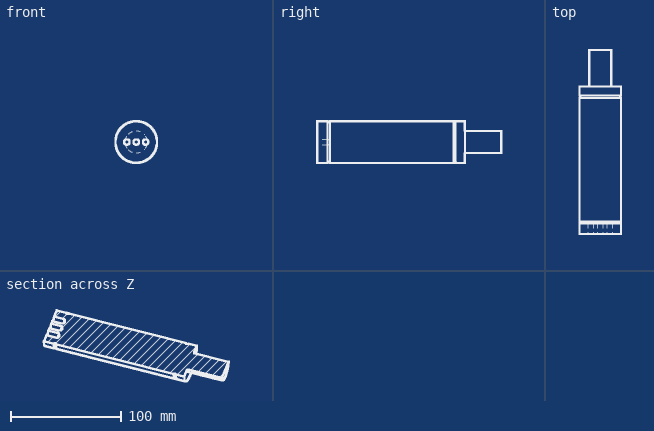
import cadquery as cq
import math

total_length = 167.0
body_diameter = 38.0
rod_diameter = 20.0
rod_length = 33.0
body_length = total_length - rod_length

groove_radius = 1.0
front_groove_y = 10.5
rear_groove_y = 124.5

hole_diameter = 5.0
hole_spacing = 8.5
hole_depth = 10.0
drill_tip_angle = 118.0


def cylinder_along_y(diameter, start_y, length):
    """Solid cylinder on the Y axis, growing toward +Y from start_y."""
    return cq.Workplane("XZ", origin=(0, start_y, 0)).circle(diameter / 2).extrude(-length)


def groove_ring(center_y):
    """Torus centred on the body surface, which cuts a half-round groove."""
    return (
        cq.Workplane("XY")
        .center(body_diameter / 2, center_y)
        .circle(groove_radius)
        .revolve(360, (-body_diameter / 2, 0, 0), (-body_diameter / 2, 1, 0))
    )


def drilled_hole(center_x):
    """Blind hole from the front face, with a conical drill tip."""
    radius = hole_diameter / 2
    tip_depth = radius / math.tan(math.radians(drill_tip_angle / 2))
    profile = [(0, 0), (radius, 0), (radius, hole_depth), (0, hole_depth + tip_depth)]
    drill = cq.Workplane("XY").polyline(profile).close().revolve(360, (0, 0, 0), (0, 1, 0))
    return drill.translate((center_x, 0, 0))


body = cylinder_along_y(body_diameter, 0, body_length)
rod = cylinder_along_y(rod_diameter, body_length, rod_length)
result = body.union(rod)

for groove_y in (front_groove_y, rear_groove_y):
    result = result.cut(groove_ring(groove_y))

for hole_x in (-hole_spacing, 0, hole_spacing):
    result = result.cut(drilled_hole(hole_x))